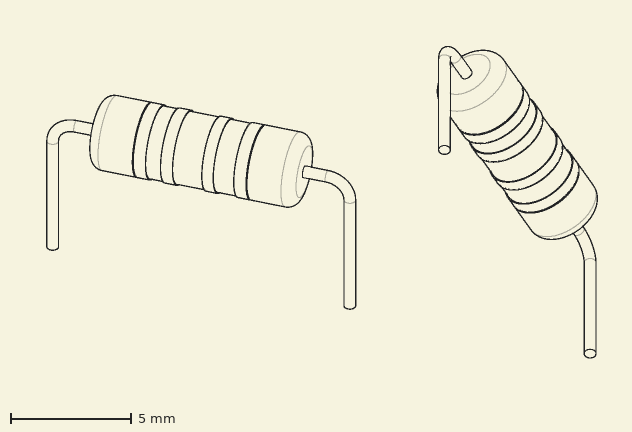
import cadquery as cq

body_length = 9.0
body_radius = 1.6
body_edge_radius = 0.5
overall_length = 13.5
overall_height = 8.2

cap_length = 2.0
waist_radius = 1.55
band_radius = body_radius
bands = [(-2.2, 0.54), (-1.01, 0.53), (0.78, 0.5), (2.2, 0.54)]

lead_diameter = 0.5
lead_bend_radius = 1.0
lead_x = (overall_length - lead_diameter) / 2
lead_bottom_z = body_radius - overall_height


def x_cylinder(centre_x, length, radius):
    """Cylinder on the body axis, centred at centre_x."""
    return cq.Workplane("YZ").workplane(offset=centre_x - length / 2).circle(radius).extrude(length)


def make_body():
    """Rounded body with a turned-down waist and raised bands."""
    body = x_cylinder(0, body_length, body_radius).edges().fillet(body_edge_radius)
    waist_length = body_length - 2 * cap_length
    ring = x_cylinder(0, waist_length, 2 * body_radius).cut(x_cylinder(0, waist_length, waist_radius))
    body = body.cut(ring)
    for centre_x, width in bands:
        body = body.union(x_cylinder(centre_x, width, band_radius))
    return body


def make_lead_pair():
    """One continuous wire: up one leg, through the body axis and down the other leg."""
    bend_x = lead_x - lead_bend_radius
    path = (
        cq.Workplane("XZ")
        .moveTo(-lead_x, lead_bottom_z)
        .lineTo(-lead_x, -lead_bend_radius)
        .tangentArcPoint((-bend_x, 0), relative=False)
        .lineTo(bend_x, 0)
        .tangentArcPoint((lead_x, -lead_bend_radius), relative=False)
        .lineTo(lead_x, lead_bottom_z)
    )
    section = cq.Workplane("XY", origin=(-lead_x, 0, lead_bottom_z)).circle(lead_diameter / 2)
    return section.sweep(path)


result = make_body().union(make_lead_pair())